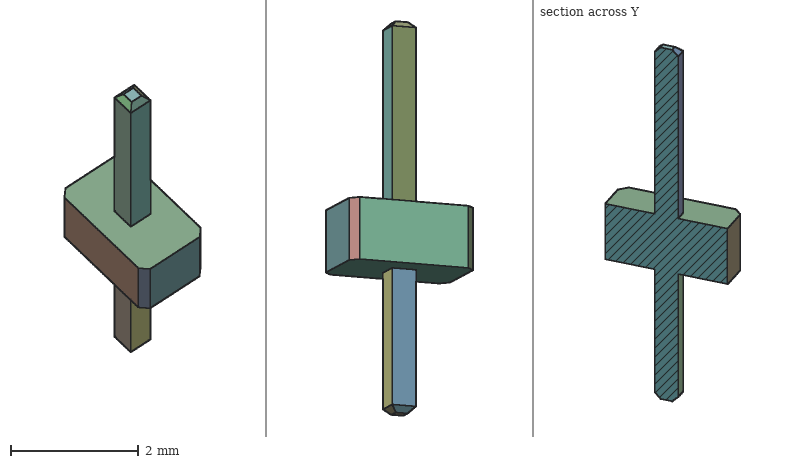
import cadquery as cq

pin_length = 6.3
pin_width = 0.405
tip_chamfer = 0.1
tail_length = 2.3

housing_length = 2.1
housing_width = 1.27
housing_height = 1.0
corner_chamfer = 0.13


def make_housing():
    """Block with chamfered vertical edges, its underside on Z = 0."""
    block = cq.Workplane("XY").rect(housing_length, housing_width).extrude(housing_height)
    return block.edges("|Z").chamfer(corner_chamfer)


def make_pin():
    """Square pin through the housing, with a tapered tip at each end."""
    pin = cq.Workplane("XY").workplane(offset=-tail_length).rect(pin_width, pin_width).extrude(pin_length)
    return pin.faces("<Z or >Z").edges().chamfer(tip_chamfer)


result = make_housing().union(make_pin())